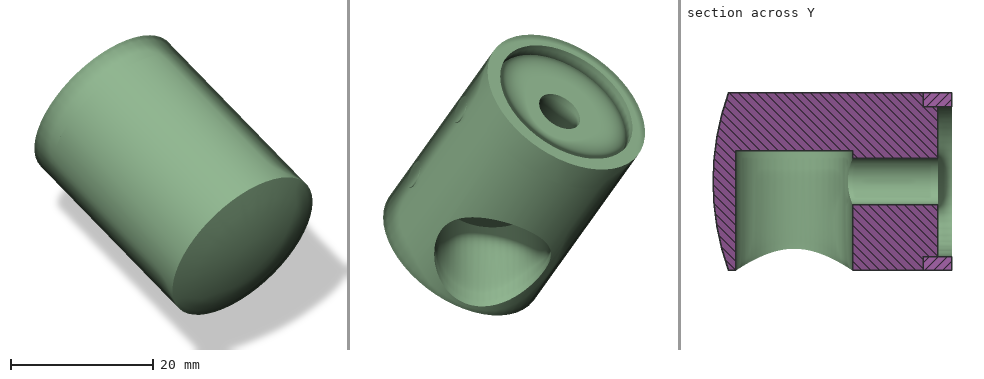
import cadquery as cq

total_length = 33.6
outer_diameter = 25.0
outer_radius = outer_diameter / 2
dome_height = 2.2
dome_edge_x = total_length - dome_height

ring_width = 4.1
ring_bore_diameter = 21.0
recess_depth = 2.0
screw_bore_diameter = 6.5

finger_hole_radius = 8.2
finger_hole_x = 22.18
finger_hole_top_z = outer_radius - finger_hole_radius

pin_diameter = 4.0
pin_length = 2.0
pin_spacing = 14.0
pin_positions_x = (finger_hole_x - pin_spacing, finger_hole_x)


def cylinder_along_x(diameter, start_x, end_x):
    """Cylinder on the knob axis between two X positions."""
    return cq.Workplane("YZ", origin=(start_x, 0, 0)).circle(diameter / 2).extrude(end_x - start_x)


def make_pin(x):
    """Pin pointing inward from the +Y side."""
    return cq.Workplane("XZ", origin=(x, outer_radius, 0)).circle(pin_diameter / 2).extrude(pin_length)


def make_ring():
    """Plain ring, flush with the outside of the knob."""
    ring = cylinder_along_x(outer_diameter, 0, ring_width)
    return ring.cut(cylinder_along_x(ring_bore_diameter, 0, ring_width))


def make_domed_blank():
    """Solid of revolution: straight cylinder closed by a spherical dome."""
    dome_radius = (outer_radius**2 + dome_height**2) / (2 * dome_height)
    dome_center_x = total_length - dome_radius
    arc_mid_y = outer_radius / 2
    arc_mid_x = dome_center_x + (dome_radius**2 - arc_mid_y**2) ** 0.5
    return (
        cq.Workplane("XY")
        .moveTo(ring_width, 0)
        .lineTo(ring_width, outer_radius)
        .lineTo(dome_edge_x, outer_radius)
        .threePointArc((arc_mid_x, arc_mid_y), (total_length, 0))
        .close()
        .revolve(360, (0, 0, 0), (1, 0, 0))
    )


def make_knob(pins):
    """Domed knob with its spigot, finger hole, the screw bore leading into it, and pin sockets."""
    finger_hole = (
        cq.Workplane("XY", origin=(finger_hole_x, 0, -outer_radius))
        .circle(finger_hole_radius)
        .extrude(finger_hole_top_z + outer_radius)
    )
    spigot = cylinder_along_x(ring_bore_diameter, recess_depth, ring_width)
    knob = make_domed_blank().union(spigot).cut(finger_hole)
    knob = knob.cut(cylinder_along_x(screw_bore_diameter, recess_depth, finger_hole_x))
    for pin in pins:
        knob = knob.cut(pin)
    return knob


pins = [make_pin(x) for x in pin_positions_x]
ring = make_ring()
knob = make_knob(pins)

result = cq.Compound.makeCompound([ring.val(), knob.val(), *[pin.val() for pin in pins]])